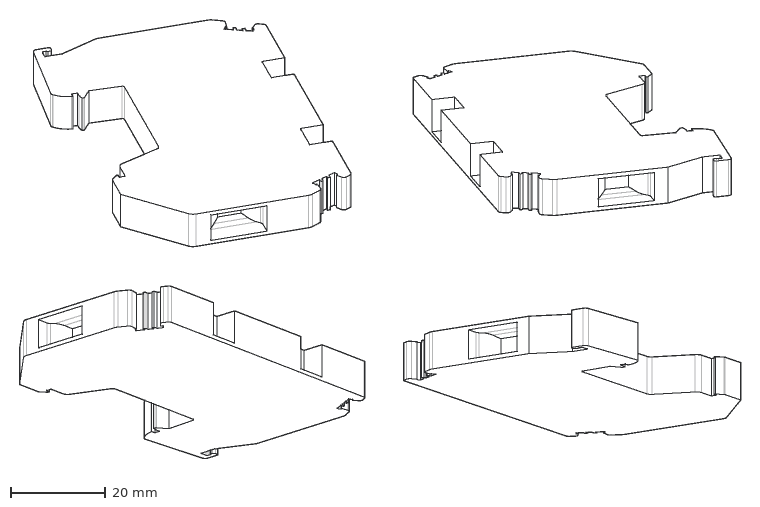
import cadquery as cq
import math

length = 72.5
thickness = 8.2
half_length = length / 2
top_y = 51.7
rail_seat_y = 15.7
rail_lip_top_y = 5.5
rail_lip_bottom_y = 4.2

slot_width = 6.7
slot_depth = 5.1
slot_offset = 13.85
slot_floor = 0.9

rib_thickness = 0.65
rib_root_x = 29.0
square_rib_tip_x = 30.8
square_rib_y = 46.7
round_rib_tip_x = 31.75
round_rib_y = 44.9
round_rib_radius = 0.3

entry_y = 25.0
entry_depth = 6.8
entry_length = 12.5
entry_height = 6.4
entry_floor_length = 5.2
entry_floor_height = 4.2
end_wall_angle = 45.0
broad_wall_angle = 30.0
end_wall_radius = 1.1
broad_wall_radius = 2.9

clip_corners = [
    (half_length, 40.95, 2.0),
    (34.8, 43.85, 0.9),
    (32.5, 43.5, 0),
    (32.6, 43.2, 0),
    (31.8, 42.7, 0),
    (29.3, 48.35, 0),
    (30.0, 48.8, 0),
    (30.4, 48.5, 0),
    (32.0, 49.7, 0.9),
    (30.95, top_y, 0.7),
]

left_foot_corners = [
    (-half_length, rail_seat_y, 0),
    (-32.6, 6.95, 0),
    (-32.6, 3.1, 0),
    (-34.6, 3.1, 0.3),
    (-34.6, 4.0, 0),
    (-34.4, 4.35, 0),
    (-34.4, 5.3, 0.4),
    (-35.8, 5.3, 0.4),
    (-35.8, 1.4, 0.9),
    (-18.05, 0.0, 0.7),
    (-16.2, 1.8, 6.2),
    (-15.8, rail_lip_bottom_y, 0),
    (-16.8, rail_lip_bottom_y, 0),
    (-16.8, rail_lip_top_y, 0),
    (-15.8, rail_lip_top_y, 0),
    (-14.65, 5.8, 0),
    (-14.65, 6.4, 0.3),
    (-17.0, 8.05, 0),
    (-16.6, rail_seat_y, 0.4),
]

right_foot_corners = [
    (9.0, rail_seat_y, 1.0),
    (12.9, rail_lip_top_y, 1.3),
    (17.55, rail_lip_top_y, 0),
    (17.55, rail_lip_bottom_y, 0),
    (16.6, rail_lip_bottom_y, 0),
    (16.6, 3.85, 0),
    (18.0, 2.5, 0.35),
    (24.15, 2.5, 0),
    (half_length, 14.6, 2.1),
]


def mirrored(corners):
    """Mirror a corner list about the Y axis, keeping the direction of travel."""
    return [(-x, y, radius) for x, y, radius in reversed(corners)]


def rounded_outline(plane, corners):
    """Closed outline through the corners, each rounded by a tangent arc of its own radius."""
    stretches = []
    for i, (x, y, radius) in enumerate(corners):
        corner = cq.Vector(x, y)
        if radius == 0:
            stretches.append([corner])
            continue
        before = cq.Vector(*corners[i - 1][:2])
        after = cq.Vector(*corners[(i + 1) % len(corners)][:2])
        to_before = (before - corner).normalized()
        to_after = (after - corner).normalized()
        half_angle = to_before.getAngle(to_after) / 2
        setback = radius / math.tan(half_angle)
        arc_gap = radius / math.sin(half_angle) - radius
        bisector = (to_before + to_after).normalized()
        stretches.append([
            corner + to_before * setback,
            corner + bisector * arc_gap,
            corner + to_after * setback,
        ])

    outline = cq.Workplane(plane).moveTo(*stretches[0][-1].toTuple()[:2])
    for stretch in stretches[1:] + stretches[:1]:
        ends = [point.toTuple()[:2] for point in stretch]
        outline = outline.lineTo(*ends[0])
        if len(ends) == 3:
            outline = outline.threePointArc(ends[1], ends[2])
    return outline.close()


def make_housing():
    corners = clip_corners + mirrored(clip_corners) + left_foot_corners + right_foot_corners
    return rounded_outline("XY", corners).extrude(thickness)


def make_rib(tip_x, y, rounded):
    """Latch rib reaching out of the +X clip recess."""
    rib_length = tip_x - rib_root_x
    rib = (
        cq.Workplane("XY")
        .center(rib_root_x + rib_length / 2, y)
        .rect(rib_length, rib_thickness)
        .extrude(thickness)
    )
    if rounded:
        rib = rib.edges("|Z and >X").fillet(round_rib_radius)
    return rib


def make_slot(center_x):
    """Marker slot, open to +Y and +Z, above a thin floor."""
    return (
        cq.Workplane("XY", origin=(center_x, top_y - slot_depth / 2, slot_floor))
        .rect(slot_width, slot_depth)
        .extrude(thickness - slot_floor)
    )


def funnel_corners(mouth_width, floor_width, wall_angle, radius):
    """Section of a funnel sunk from the +X side wall: straight mouth, then tapered to the floor."""
    taper_depth = (mouth_width - floor_width) / 2 / math.tan(math.radians(wall_angle))
    floor_x = half_length - entry_depth
    taper_x = floor_x + taper_depth
    return [
        (half_length, -mouth_width / 2, 0),
        (half_length, mouth_width / 2, 0),
        (taper_x, mouth_width / 2, radius),
        (floor_x, floor_width / 2, 0),
        (floor_x, -floor_width / 2, 0),
        (taper_x, -mouth_width / 2, radius),
    ]


def make_wire_entry():
    """Wire entry in the +X side wall, where a lengthwise and an upright funnel section overlap."""
    end_walls = rounded_outline(
        cq.Plane.XY(origin=(0, entry_y, 0)),
        funnel_corners(entry_length, entry_floor_length, end_wall_angle, end_wall_radius),
    ).extrude(thickness)
    broad_walls = rounded_outline(
        cq.Plane.XZ(origin=(0, entry_y, thickness / 2)),
        funnel_corners(entry_height, entry_floor_height, broad_wall_angle, broad_wall_radius),
    ).extrude(entry_length / 2, both=True)
    return end_walls.intersect(broad_walls)


result = make_housing()

ribs = [
    make_rib(square_rib_tip_x, square_rib_y, rounded=False),
    make_rib(round_rib_tip_x, round_rib_y, rounded=True),
]
for rib in ribs:
    result = result.union(rib).union(rib.mirror("YZ"))

for side in (-1, 1):
    result = result.cut(make_slot(side * slot_offset))

wire_entry = make_wire_entry()
result = result.cut(wire_entry).cut(wire_entry.mirror("YZ")).solids()